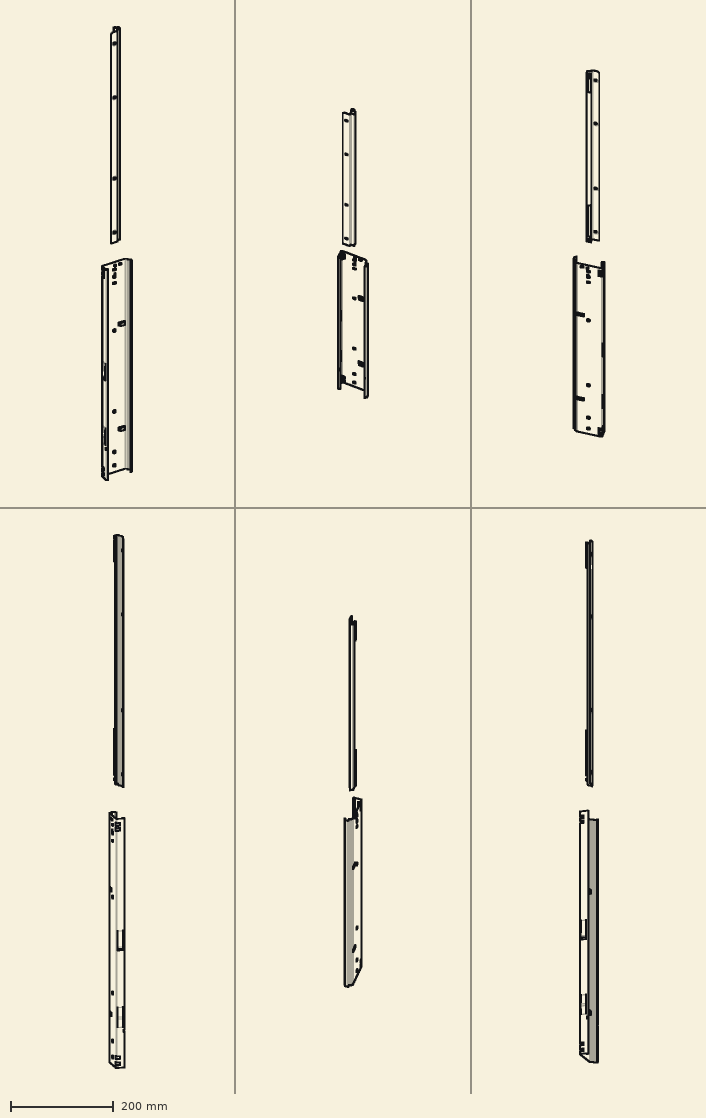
import cadquery as cq
import math

SLIDE_DEPTH = 18.0
PROFILE_HEIGHT = 62.5
TOTAL_LENGTH = 1059.98
RAIL_LENGTH = 500.0
SHEET = 1.2
HALF_SHEET = SHEET / 2
INNER_BEND = 0.6
OUTER_BEND = INNER_BEND + SHEET
OVERCUT = 4.0

CABINET_BOTTOM = 1.5
FLANGE_OUTER_Y = 1.4
WEB_X = HALF_SHEET
FLANGE_Y = FLANGE_OUTER_Y + HALF_SHEET
LIP_X = SLIDE_DEPTH - HALF_SHEET
LIP_RETURN_Y = 6.6
LIP_CURL_Y = 4.6
LIP_RETURN_X = 13.6

TRACK_NEAR_X = 7.0
TRACK_FAR_X = 13.6
CABINET_TRACK_TOP = PROFILE_HEIGHT - HALF_SHEET
CABINET_TRACK_FOOT = 56.0
CABINET_TRACK_LIP_Y = 58.4
CABINET_TRACK_LIP_X = 16.5
SHOULDER_START_Y = 53.0
SHOULDER_X = 3.0
SHOULDER_Y = 57.2

PITCH = 32.0
HOLE_ROW_Y = 29.6
SCREW_HOLE = 6.4
FIRST_SCREW_Z = 17.5
SCREW_STEPS = (0, 1, 4, 10, 14)

SLOT_WIDTH = 4.0
ADJUSTMENT_SLOTS = ((42.4, 491.5, 6.5), (31.2, 491.5, 5.0), (29.6, 482.0, 7.0), (29.6, 450.0, 7.0))
KEY_NOTCH_Y = 30.8
KEY_NOTCH_WIDTH = 2.6
KEY_NOTCH_HEIGHT = 7.5

GUSSET_REACH = 7.5
GUSSET_HEIGHT = 5.5
GUSSET_CENTRES = (9.5, 22.0, 478.5, 488.5)

TAB_CENTRES = (100.5, 349.5)
TAB_HEIGHT = 7.0
TAB_BOTTOM_Y = 41.2
TAB_TOP_Y = 51.5
TAB_WINDOW_BOTTOM_Y = 38.5
TAB_LIFT = 3.6

RAMP_NEAR_X = 3.0
RAMP_FAR_X = 13.8
DETENT_RAMP = ((276.0, 0.0), (244.0, FLANGE_OUTER_Y), (240.0, FLANGE_OUTER_Y), (236.5, 0.0))
DOUBLE_RAMP = ((123.0, 0.0), (104.0, FLANGE_OUTER_Y), (100.0, FLANGE_OUTER_Y), (83.0, 0.0))

LIP_NOTCH_Z = 75.0
LIP_NOTCH_HEIGHT = 4.5
LIP_NOTCH_X = 15.0

TONGUE_X = 13.9
TONGUE_WIDTH = 1.2

DRAWER_BOTTOM = TOTAL_LENGTH - RAIL_LENGTH
STEM_BOTTOM_Y = 12.5
STEM_TOP_Y = 27.2
DRAWER_TRACK_TOP = 35.8 - HALF_SHEET
DRAWER_TRACK_FOOT = 25.8
HOOK_X = 3.6
HOOK_TOP_Y = 31.1
HOOK_SPANS = ((571.5, 574.5), (582.0, 674.0), (1009.0, 1050.0), (1054.0, TOTAL_LENGTH))
COUNTERSINK_Y = 20.0
COUNTERSINK_DIAMETER = 10.0
COUNTERSINK_HOLE = 5.2
FIRST_COUNTERSINK_Z = DRAWER_BOTTOM + 24.2
COUNTERSINK_STEPS = (0, 4, 10, 14)
TRACK_SHORTENING = 2.5
STEM_CHAMFER = 3.5


def round_edges(solid, corners, middle, radius):
    """Fillet the edges along Z that pass through the given section corners."""
    for x, y in corners:
        edge = solid.edges("|Z").edges(cq.NearestToPointSelector((x, y, middle)))
        solid = edge.fillet(radius)
    return solid


def sheet_strip(path, bottom, top):
    """Bent sheet of constant thickness, with square ends, centred on an open path of the section."""
    points = [cq.Vector(x, y) for x, y in path]
    directions = [(end - start).normalized() for start, end in zip(points, points[1:])]
    left, right = [], []
    inner_corners, outer_corners = [], []
    for point, before, after in zip(points, directions[:1] + directions, directions + directions[-1:]):
        turn = math.atan2(before.cross(after).z, before.dot(after))
        bisector = (before + after).normalized()
        miter = cq.Vector(-bisector.y, bisector.x) * (HALF_SHEET / math.cos(turn / 2))
        left.append((point + miter).toTuple()[:2])
        right.append((point - miter).toTuple()[:2])
        if turn > 0:
            inner_corners.append(left[-1])
            outer_corners.append(right[-1])
        elif turn < 0:
            inner_corners.append(right[-1])
            outer_corners.append(left[-1])

    outline = cq.Workplane("XY", origin=(0, 0, bottom)).polyline(left + right[::-1]).close()
    strip = outline.extrude(top - bottom)
    middle = (bottom + top) / 2
    strip = round_edges(strip, inner_corners, middle, INNER_BEND)
    return round_edges(strip, outer_corners, middle, OUTER_BEND)


def box(x_span, y_span, z_span):
    """Block given by its two limits along each axis."""
    spans = (x_span, y_span, z_span)
    sizes = [high - low for low, high in spans]
    corner = cq.Vector(*[low for low, high in spans])
    return cq.Workplane(cq.Solid.makeBox(*sizes, corner))


def cabinet_profile():
    path = [
        (LIP_RETURN_X, LIP_CURL_Y),
        (LIP_RETURN_X, LIP_RETURN_Y),
        (LIP_X, LIP_RETURN_Y),
        (LIP_X, FLANGE_Y),
        (WEB_X, FLANGE_Y),
        (WEB_X, SHOULDER_START_Y),
        (SHOULDER_X, SHOULDER_Y),
        (TRACK_NEAR_X, CABINET_TRACK_FOOT),
        (TRACK_NEAR_X, CABINET_TRACK_TOP),
        (TRACK_FAR_X, CABINET_TRACK_TOP),
        (TRACK_FAR_X, CABINET_TRACK_LIP_Y),
        (CABINET_TRACK_LIP_X, CABINET_TRACK_LIP_Y),
    ]
    return sheet_strip(path, CABINET_BOTTOM, RAIL_LENGTH)


def press_gusset(rail, centre):
    """Replace the bend by a short diagonal sheet between web and flange."""
    corner_y = FLANGE_OUTER_Y
    bottom = centre - GUSSET_HEIGHT / 2
    plane = cq.Workplane("XY", origin=(0, 0, bottom))
    dent = [
        (-OVERCUT, corner_y - OVERCUT),
        (GUSSET_REACH + OVERCUT, corner_y - OVERCUT),
        (-OVERCUT, corner_y + GUSSET_REACH + OVERCUT),
    ]
    diagonal = [
        (0, corner_y + GUSSET_REACH),
        (GUSSET_REACH, corner_y),
        (GUSSET_REACH + SHEET, corner_y + SHEET),
        (SHEET, corner_y + GUSSET_REACH + SHEET),
    ]
    rail = rail.cut(plane.polyline(dent).close().extrude(GUSSET_HEIGHT))
    return rail.union(plane.polyline(diagonal).close().extrude(GUSSET_HEIGHT))


def add_lanced_tab(rail, centre):
    """Open a window in the web and leave its tab raised into the rail."""
    z_span = (centre - TAB_HEIGHT / 2, centre + TAB_HEIGHT / 2)
    window = box((-OVERCUT, TAB_LIFT), (TAB_WINDOW_BOTTOM_Y, TAB_TOP_Y), z_span)
    path = [(WEB_X, TAB_TOP_Y), (WEB_X + TAB_LIFT, TAB_TOP_Y), (WEB_X + TAB_LIFT, TAB_BOTTOM_Y)]
    return rail.cut(window).union(sheet_strip(path, *z_span))


def ramp_prism(ramp, base_y):
    """Wedge of a ramp that rises from base_y towards -Y."""
    outline = [(base_y - rise, z) for z, rise in ramp]
    plane = cq.Workplane("YZ", origin=(RAMP_NEAR_X, 0, 0))
    return plane.polyline(outline).close().extrude(RAMP_FAR_X - RAMP_NEAR_X)


def build_cabinet_rail():
    rail = cabinet_profile()

    screw_points = [(HOLE_ROW_Y, FIRST_SCREW_Z + step * PITCH) for step in SCREW_STEPS]
    web_plane = cq.Workplane("YZ")
    rail = rail.cut(web_plane.pushPoints(screw_points).circle(SCREW_HOLE / 2).extrude(OVERCUT))
    for y, z, length in ADJUSTMENT_SLOTS:
        rail = rail.cut(web_plane.center(y, z).slot2D(length, SLOT_WIDTH).extrude(OVERCUT))
    last_screw_z = FIRST_SCREW_Z + SCREW_STEPS[-1] * PITCH
    key_notch = web_plane.center(KEY_NOTCH_Y, last_screw_z + KEY_NOTCH_HEIGHT / 2)
    rail = rail.cut(key_notch.rect(KEY_NOTCH_WIDTH, KEY_NOTCH_HEIGHT).extrude(OVERCUT))

    for centre in GUSSET_CENTRES:
        rail = press_gusset(rail, centre)

    for centre in TAB_CENTRES:
        rail = add_lanced_tab(rail, centre)

    for ramp in (DETENT_RAMP, DOUBLE_RAMP):
        rail = rail.union(ramp_prism(ramp, FLANGE_OUTER_Y))
        rail = rail.cut(ramp_prism(ramp, FLANGE_OUTER_Y + SHEET))

    notch_span = (LIP_NOTCH_Z - LIP_NOTCH_HEIGHT / 2, LIP_NOTCH_Z + LIP_NOTCH_HEIGHT / 2)
    lip_notch = box((LIP_NOTCH_X, SLIDE_DEPTH + OVERCUT), (-OVERCUT, PROFILE_HEIGHT), notch_span)
    rail = rail.cut(lip_notch)

    tongue = box(
        (TONGUE_X, TONGUE_X + TONGUE_WIDTH),
        (CABINET_TRACK_LIP_Y - HALF_SHEET, CABINET_TRACK_LIP_Y + HALF_SHEET),
        (0, CABINET_BOTTOM + OVERCUT),
    )
    return rail.union(tongue)


def countersunk_hole(z):
    """Screw hole through the stem, countersunk from the inner face."""
    inner_face_x = SLIDE_DEPTH - SHEET
    face = cq.Workplane("YZ", origin=(inner_face_x - OVERCUT, COUNTERSINK_Y, z))
    bore = face.circle(COUNTERSINK_HOLE / 2).extrude(2 * OVERCUT)
    cone = cq.Workplane(cq.Solid.makeCone(
        COUNTERSINK_DIAMETER / 2, COUNTERSINK_HOLE / 2, HALF_SHEET,
        cq.Vector(inner_face_x, COUNTERSINK_Y, z), cq.Vector(1, 0, 0),
    ))
    return bore.union(cone)


def build_drawer_rail():
    path = [
        (TRACK_NEAR_X, DRAWER_TRACK_FOOT),
        (TRACK_NEAR_X, DRAWER_TRACK_TOP),
        (TRACK_FAR_X, DRAWER_TRACK_TOP),
        (TRACK_FAR_X, STEM_TOP_Y),
        (LIP_X, STEM_TOP_Y),
        (LIP_X, STEM_BOTTOM_Y),
    ]
    rail = sheet_strip(path, DRAWER_BOTTOM, TOTAL_LENGTH)

    side_hook = [(TRACK_NEAR_X, DRAWER_TRACK_FOOT), (HOOK_X, DRAWER_TRACK_FOOT), (HOOK_X, HOOK_TOP_Y)]
    for bottom, top in HOOK_SPANS:
        rail = rail.union(sheet_strip(side_hook, bottom, top))

    for step in COUNTERSINK_STEPS:
        rail = rail.cut(countersunk_hole(FIRST_COUNTERSINK_Z + step * PITCH))

    track_end = box(
        (-OVERCUT, TRACK_FAR_X - HALF_SHEET),
        (0, PROFILE_HEIGHT),
        (DRAWER_BOTTOM - OVERCUT, DRAWER_BOTTOM + TRACK_SHORTENING),
    )
    rail = rail.cut(track_end)

    stem_corner = [
        (STEM_BOTTOM_Y, TOTAL_LENGTH),
        (STEM_BOTTOM_Y + STEM_CHAMFER, TOTAL_LENGTH),
        (STEM_BOTTOM_Y, TOTAL_LENGTH - STEM_CHAMFER),
    ]
    return rail.cut(cq.Workplane("YZ").polyline(stem_corner).close().extrude(SLIDE_DEPTH))


cabinet_rail = build_cabinet_rail()
drawer_rail = build_drawer_rail()
result = cq.Compound.makeCompound([cabinet_rail.solids().val(), drawer_rail.solids().val()])